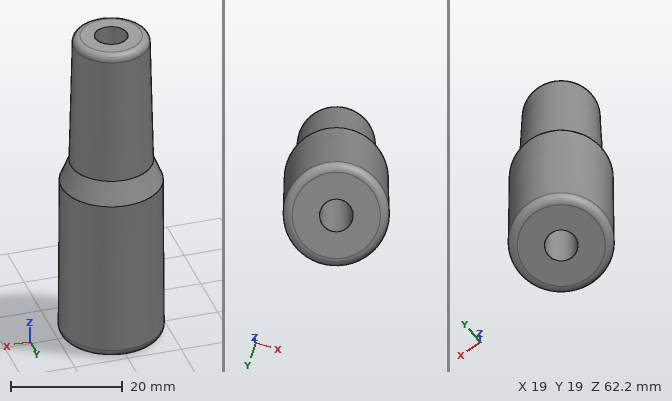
import cadquery as cq

height = 62.2
shoulder_bottom = 31.85
shoulder_top = 36.15

base_radius = 9.5
shoulder_bottom_radius = 9.35
shoulder_top_radius = 7.6
tip_radius = 7.0

base_fillet = 1.6
tip_fillet = 1.45
bore_diameter = 6.0

body = (
    cq.Workplane("XZ")
    .moveTo(0, 0)
    .lineTo(base_radius, 0)
    .lineTo(shoulder_bottom_radius, shoulder_bottom)
    .lineTo(shoulder_top_radius, shoulder_top)
    .lineTo(tip_radius, height)
    .lineTo(0, height)
    .close()
    .revolve(360, (0, 0, 0), (0, 1, 0))
)

body = body.faces("<Z").edges().fillet(base_fillet)
body = body.faces(">Z").edges().fillet(tip_fillet)

result = body.faces(">Z").workplane().hole(bore_diameter)